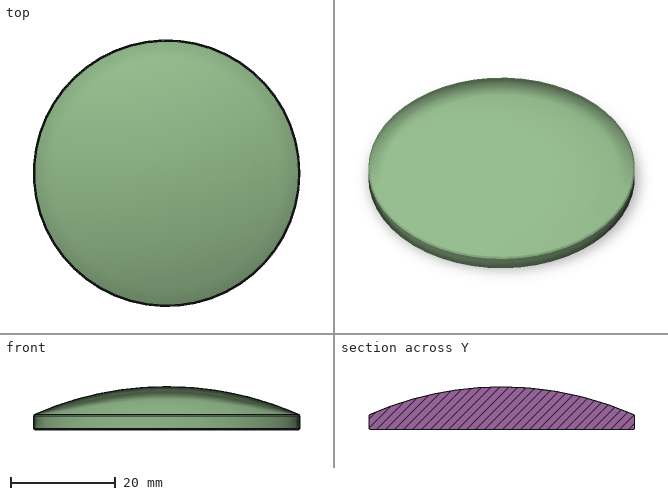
import cadquery as cq
import math

diameter = 50.8
total_height = 8.25
band_top = 2.65
shoulder_height = 2.95
edge_bevel = 0.25

radius = diameter / 2
dome_edge_radius = radius - edge_bevel
dome_rise = total_height - shoulder_height
dome_radius = (dome_edge_radius**2 + dome_rise**2) / (2 * dome_rise)

mid_radius = dome_edge_radius / 2
dome_center_z = total_height - dome_radius
mid_height = dome_center_z + math.sqrt(dome_radius**2 - mid_radius**2)

profile = (
    cq.Workplane("XZ")
    .moveTo(0, 0)
    .lineTo(radius - edge_bevel, 0)
    .lineTo(radius, edge_bevel)
    .lineTo(radius, band_top)
    .lineTo(dome_edge_radius, shoulder_height)
    .threePointArc((mid_radius, mid_height), (0, total_height))
    .close()
)
result = profile.revolve(360, (0, 0, 0), (0, 1, 0))